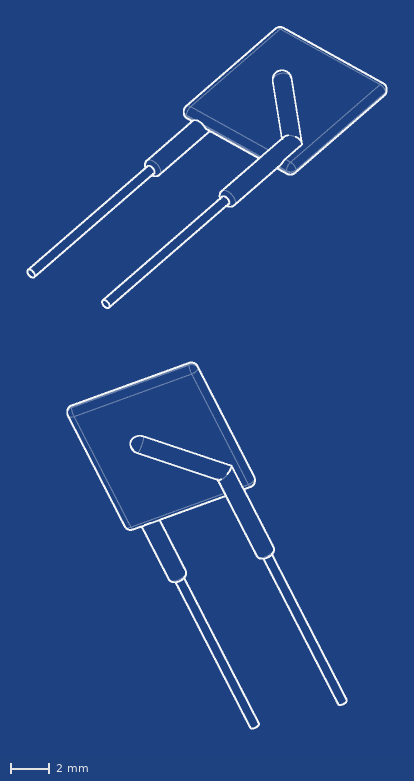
import cadquery as cq
import math

plate_width = 7.4
plate_length = 8.2
plate_thickness = 0.8
plate_edge_radius = 0.35

overall_length = 22.2
lead_spacing = 5.0
sleeve_diameter = 1.0
sleeve_end_radius = 0.2
wire_diameter = 0.5
wire_length = 10.0
bend_from_back = 6.64
bend_angle = 45.0
sloped_run = 3.35

back_y = plate_length / 2
bend_y = back_y - bend_from_back
wire_end_y = back_y - overall_length
sleeve_end_y = wire_end_y + wire_length
sleeve_radius = sleeve_diameter / 2
lead_x = lead_spacing / 2
face_z = plate_thickness / 2


def make_plate():
    plate = cq.Workplane("XY").box(plate_width, plate_length, plate_thickness)
    return plate.edges().fillet(plate_edge_radius)


def make_sleeve():
    """Mitred sleeve with a rounded front rim and a domed inner tip."""
    tip_x = lead_x - sloped_run
    tip_y = bend_y + sloped_run / math.tan(math.radians(bend_angle))
    axis = cq.Workplane("XY", origin=(0, 0, face_z)).polyline(
        [(lead_x, sleeve_end_y), (lead_x, bend_y), (tip_x, tip_y)]
    )
    profile = cq.Workplane("XZ", origin=(lead_x, sleeve_end_y, face_z)).circle(sleeve_radius)
    sleeve = profile.sweep(axis, transition="right")
    sleeve = sleeve.faces("<Y").edges().fillet(sleeve_end_radius)
    dome = cq.Workplane("XY", origin=(tip_x, tip_y, face_z)).sphere(sleeve_radius)
    return sleeve.union(dome)


def make_wire():
    wire_start = cq.Workplane("XZ", origin=(lead_x, bend_y, face_z))
    return wire_start.circle(wire_diameter / 2).extrude(bend_y - wire_end_y)


upper_lead = make_sleeve().union(make_wire())
lower_lead = upper_lead.rotate((0, 0, 0), (0, 1, 0), 180)

result = make_plate().union(upper_lead).union(lower_lead)